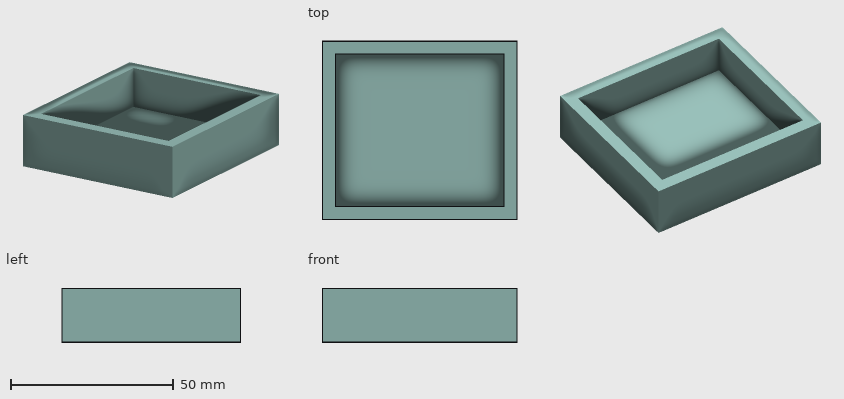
import cadquery as cq

length = 60.0
width = 55.0
height = 16.7

wall = 4.0

block = cq.Workplane("XY").box(length, width, height, centered=(True, True, False))

pocket = (
    cq.Workplane("XY")
    .workplane(offset=wall)
    .rect(length - 2 * wall, width - 2 * wall)
    .extrude(height - wall)
)

result = block.cut(pocket)